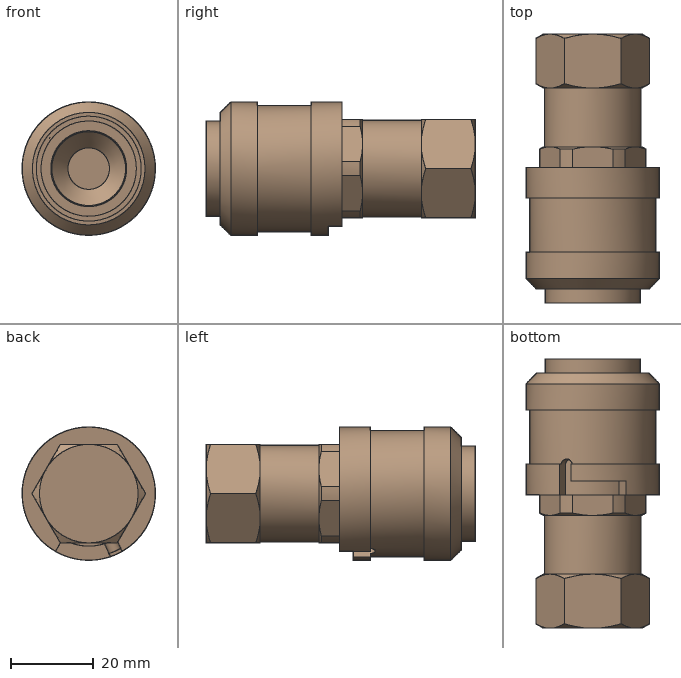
import cadquery as cq
import math

LENGTH = 65.0

SLEEVE_FRONT = 3.4
BEVEL_END = 6.0
FLANGE_BACK = 12.35
COLLAR_FRONT = 25.35
COLLAR_BACK = 32.85
SMALL_HEX_BACK = 37.8
HEX_FRONT = 51.95

FLANGE_RADIUS = 16.1
SLEEVE_RADIUS = 15.3
BEVEL_RADIUS = 13.6
SLEEVE_BORE_RADIUS = 12.7
TUBE_RADIUS = 11.7
CORE_RADIUS = 11.5
BORE_RADIUS = 8.9
BORE_FLOOR_RADIUS = 5.0

HEX_FLATS = 23.8
HEX_CORNER_RADIUS = HEX_FLATS / 2 / math.cos(math.pi / 6)
SMALL_HEX_CORNER_RADIUS = 12.9
HEX_BEVEL_ANGLE = 30.0

SLEEVE_GAP_DEPTH = 3.45
BORE_DEPTH = 16.9
BORE_LEAD_IN = 0.25

NOTCH_HALF_ANGLE = 30.0
NOTCH_FRONT = 29.5
SLOT_WIDTH = 3.1
SLOT_CENTER = 25.75
SLOT_ANGLE = NOTCH_HALF_ANGLE - math.degrees(math.asin(SLOT_WIDTH / 2 / FLANGE_RADIUS))


def revolve_profile(points):
    """Solid of revolution about Y from (radius, y) points."""
    return cq.Workplane("XY").polyline(points).close().revolve(360, (0, 0, 0), (0, 1, 0))


def cylinder(radius, front, back):
    return revolve_profile([(0, front), (radius, front), (radius, back), (0, back)])


def hex_prism(front, back):
    """Hexagonal bar along Y with flats facing +Z and -Z."""
    return cq.Workplane("XZ", origin=(0, back, 0)).polygon(6, 2 * HEX_CORNER_RADIUS).extrude(back - front)


def bevel_envelope(radius, front, back, bevel_front):
    """Round bar bevelled to the hexagon's inscribed circle at the back, optionally at the front too."""
    flat_radius = HEX_FLATS / 2
    bevel = (radius - flat_radius) * math.tan(math.radians(HEX_BEVEL_ANGLE))
    if bevel_front:
        front_points = [(flat_radius, front), (radius, front + bevel)]
    else:
        front_points = [(radius, front)]
    back_points = [(radius, back - bevel), (flat_radius, back)]
    return revolve_profile([(0, front)] + front_points + back_points + [(0, back)])


def end_hexagon():
    envelope = bevel_envelope(HEX_CORNER_RADIUS, HEX_FRONT, LENGTH, True)
    return hex_prism(HEX_FRONT, LENGTH).intersect(envelope)


def small_hexagon():
    envelope = bevel_envelope(SMALL_HEX_CORNER_RADIUS, COLLAR_BACK, SMALL_HEX_BACK, False)
    return hex_prism(COLLAR_BACK, SMALL_HEX_BACK).intersect(envelope)


def sleeve():
    """Sliding sleeve with a bevelled front flange and a rear collar."""
    return revolve_profile([
        (0, SLEEVE_FRONT),
        (BEVEL_RADIUS, SLEEVE_FRONT),
        (FLANGE_RADIUS, BEVEL_END),
        (FLANGE_RADIUS, FLANGE_BACK),
        (SLEEVE_RADIUS, FLANGE_BACK),
        (SLEEVE_RADIUS, COLLAR_FRONT),
        (FLANGE_RADIUS, COLLAR_FRONT),
        (FLANGE_RADIUS, COLLAR_BACK),
        (0, COLLAR_BACK),
    ])


def sleeve_gap():
    """Ring-shaped recess between the sleeve and the core."""
    gap_floor = SLEEVE_FRONT + SLEEVE_GAP_DEPTH
    return cylinder(SLEEVE_BORE_RADIUS, 0, gap_floor).cut(cylinder(CORE_RADIUS, 0, gap_floor))


def core_bore():
    """Blind bore with a small lead-in and a 45 degree conical bottom."""
    cone_length = BORE_RADIUS - BORE_FLOOR_RADIUS
    return revolve_profile([
        (0, 0),
        (BORE_RADIUS + BORE_LEAD_IN, 0),
        (BORE_RADIUS, BORE_LEAD_IN),
        (BORE_RADIUS, BORE_DEPTH),
        (BORE_FLOOR_RADIUS, BORE_DEPTH + cone_length),
        (0, BORE_DEPTH + cone_length),
    ])


def bayonet_notch():
    """Wide sector behind the tab, joined to a narrow round-ended slot beside the tab."""
    reach = 2 * FLANGE_RADIUS
    side = reach * math.tan(math.radians(NOTCH_HALF_ANGLE))
    sector = (
        cq.Workplane("XZ", origin=(0, COLLAR_BACK, 0))
        .polyline([(0, 0), (-side, -reach), (side, -reach)])
        .close()
        .extrude(COLLAR_BACK - NOTCH_FRONT)
    )
    slot_length = COLLAR_BACK - SLOT_CENTER
    slot = (
        cq.Workplane("XY")
        .center(0, SLOT_CENTER + slot_length / 2)
        .rect(SLOT_WIDTH, slot_length)
        .extrude(-reach)
        .union(cq.Workplane("XY").center(0, SLOT_CENTER).circle(SLOT_WIDTH / 2).extrude(-reach))
        .rotate((0, 0, 0), (0, 1, 0), SLOT_ANGLE)
    )
    notch_floor = cylinder(SLEEVE_BORE_RADIUS, SLEEVE_FRONT, COLLAR_BACK)
    return sector.union(slot).cut(notch_floor)


body = cylinder(CORE_RADIUS, 0, SLEEVE_FRONT)
body = body.union(sleeve())
body = body.union(small_hexagon())
body = body.union(cylinder(TUBE_RADIUS, SMALL_HEX_BACK, HEX_FRONT))
body = body.union(end_hexagon())
body = body.cut(sleeve_gap())
body = body.cut(core_bore())
result = body.cut(bayonet_notch())